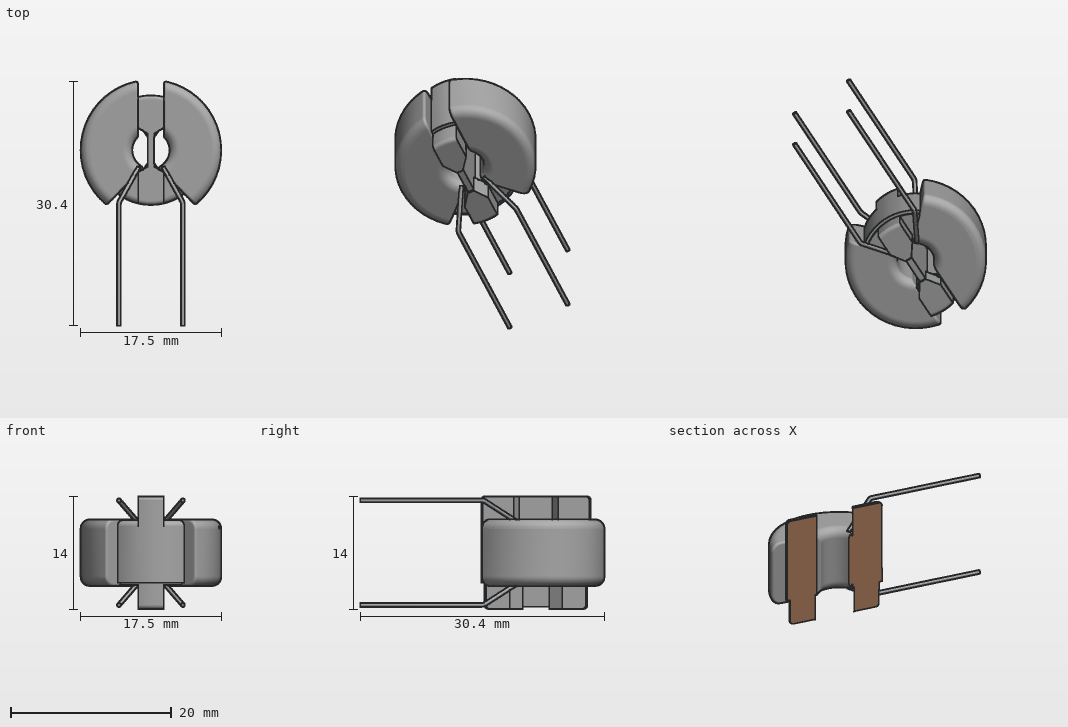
import cadquery as cq

WINDING_RADIUS = 8.75
WINDING_BORE_RADIUS = 2.3
WINDING_HALF_HEIGHT = 4.15
WINDING_RIM_ROUND = 1.2
WINDING_END_ROUND = 0.3
WEDGE_APEX_Y = -1.3

CUP_RADIUS = 6.82
CUP_TOP = 4.0
CUP_BOTTOM = -3.73
CUP_ROUND = 0.7
COVER_RADIUS = 6.4
COVER_BOTTOM = -4.0
CASE_BORE_RADIUS = 3.2

BAR_HALF_WIDTH = 1.6
BAR_HALF_HEIGHT = 7.0
BAR_END_ROUND = 0.5
WEB_HALF_WIDTH = 0.41
UPPER_WEB_HALF_LENGTH = 2.05
UPPER_FLARE_HALF_LENGTH = 2.75
LOWER_WEB_HALF_LENGTH = 1.63
LOWER_FLARE_HALF_LENGTH = 3.28
LOWER_WEB_RECESS = 0.28

LEAD_RADIUS = 0.25
LEAD_ROOT = cq.Vector(1.55, -2.15, 3.7)
LEAD_BEND = cq.Vector(3.97, -6.5, 6.5)
LEAD_TIP_Y = -21.83
LEAD_BEND_TANGENT = 0.27


def cylinder(radius, bottom, top):
    return cq.Workplane("XY").workplane(offset=bottom).circle(radius).extrude(top - bottom)


def make_winding():
    height = 2 * WINDING_HALF_HEIGHT
    ring = cylinder(WINDING_RADIUS, -WINDING_HALF_HEIGHT, WINDING_HALF_HEIGHT)
    ring = ring.cut(cylinder(WINDING_BORE_RADIUS, -WINDING_HALF_HEIGHT, WINDING_HALF_HEIGHT))
    ring = ring.faces("|Z").edges().fillet(WINDING_RIM_ROUND)

    reach = 2 * WINDING_RADIUS
    half_region = (
        cq.Workplane("XY")
        .workplane(offset=-WINDING_HALF_HEIGHT)
        .moveTo(BAR_HALF_WIDTH, 0)
        .lineTo(0, 0)
        .lineTo(0, WEDGE_APEX_Y)
        .lineTo(reach, WEDGE_APEX_Y - reach)
        .lineTo(reach, reach)
        .lineTo(BAR_HALF_WIDTH, reach)
        .close()
        .extrude(height)
    )
    half = ring.intersect(half_region)
    half = half.faces("<X or <(1,1,0)").edges().fillet(WINDING_END_ROUND)
    return half.union(half.mirror("YZ"))


def make_case():
    cup = cylinder(CUP_RADIUS, CUP_BOTTOM, CUP_TOP).faces(">Z").edges().fillet(CUP_ROUND)
    cover = cylinder(COVER_RADIUS, COVER_BOTTOM, CUP_BOTTOM)
    bore = cylinder(CASE_BORE_RADIUS, COVER_BOTTOM, CUP_TOP)
    return cup.union(cover).cut(bore)


def bar_plan(web_half_length, flare_half_length, bottom, top):
    """Bar along Y that narrows through straight flares to the web in its middle."""
    side = [
        (BAR_HALF_WIDTH, -CUP_RADIUS),
        (BAR_HALF_WIDTH, -flare_half_length),
        (WEB_HALF_WIDTH, -web_half_length),
        (WEB_HALF_WIDTH, web_half_length),
        (BAR_HALF_WIDTH, flare_half_length),
        (BAR_HALF_WIDTH, CUP_RADIUS),
    ]
    opposite_side = [(-x, -y) for x, y in side]
    plan = cq.Workplane("XY").workplane(offset=bottom).polyline(side + opposite_side).close()
    return plan.extrude(top - bottom)


def make_upper_bar():
    envelope = cylinder(CUP_RADIUS, CUP_BOTTOM, BAR_HALF_HEIGHT)
    envelope = envelope.faces(">Z").edges().fillet(BAR_END_ROUND)
    plan = bar_plan(UPPER_WEB_HALF_LENGTH, UPPER_FLARE_HALF_LENGTH, CUP_BOTTOM, BAR_HALF_HEIGHT)
    return envelope.intersect(plan)


def make_lower_bar():
    envelope = cylinder(COVER_RADIUS, -BAR_HALF_HEIGHT, CUP_BOTTOM)
    envelope = envelope.faces("<Z").edges().fillet(BAR_END_ROUND)
    plan = bar_plan(LOWER_WEB_HALF_LENGTH, LOWER_FLARE_HALF_LENGTH, -BAR_HALF_HEIGHT, CUP_BOTTOM)
    recess_length = 2 * LOWER_WEB_HALF_LENGTH
    recess = cq.Workplane("XY").box(2 * BAR_HALF_WIDTH, recess_length, 2 * LOWER_WEB_RECESS)
    recess = recess.translate((0, 0, -BAR_HALF_HEIGHT))
    return envelope.intersect(plan).cut(recess)


def make_lead():
    """Lead of the +X, +Z quadrant: a sloping leg, a short bend and a straight run along -Y."""
    leg_direction = (LEAD_BEND - LEAD_ROOT).normalized()
    run_direction = cq.Vector(0, -1, 0)
    tip = cq.Vector(LEAD_BEND.x, LEAD_TIP_Y, LEAD_BEND.z)
    bend_start = LEAD_BEND - leg_direction * LEAD_BEND_TANGENT
    bend_end = LEAD_BEND + run_direction * LEAD_BEND_TANGENT
    path = cq.Wire.assembleEdges([
        cq.Edge.makeLine(LEAD_ROOT, bend_start),
        cq.Edge.makeTangentArc(bend_start, leg_direction, bend_end),
        cq.Edge.makeLine(bend_end, tip),
    ])
    section = cq.Workplane(cq.Plane(origin=LEAD_ROOT, normal=leg_direction)).circle(LEAD_RADIUS)
    return section.sweep(cq.Workplane(path))


result = make_winding().union(make_case()).union(make_upper_bar()).union(make_lower_bar())

upper_lead = make_lead()
for lead in (upper_lead, upper_lead.mirror("XY")):
    result = result.union(lead).union(lead.mirror("YZ"))